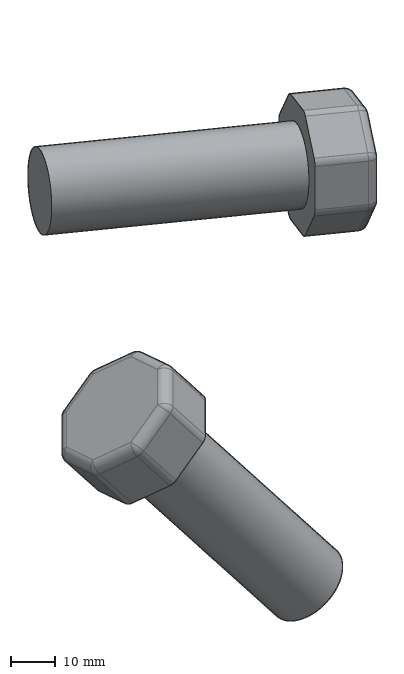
import cadquery as cq
import math

shank_diameter = 20.0
shank_length = 60.0
head_side = 12.5
head_thickness = 15.0
edge_radius = 2.5

head_corners = 8
head_circumdiameter = head_side / math.sin(math.pi / head_corners)
half_corner_angle = 180.0 / head_corners


def make_head():
    """Octagonal head from Y=0 to Y=head_thickness, rounded at the corners and far rim."""
    octagon = (
        cq.Workplane("XZ")
        .transformed(rotate=(0, 0, half_corner_angle))
        .polygon(head_corners, head_circumdiameter)
        .extrude(-head_thickness)
    )
    rounded_corners = octagon.edges("|Y").fillet(edge_radius)
    return rounded_corners.faces(">Y").edges().fillet(edge_radius)


def make_shank():
    """Plain cylinder running from the head's underside toward -Y."""
    return cq.Workplane("XZ").circle(shank_diameter / 2).extrude(shank_length)


result = make_head().union(make_shank())